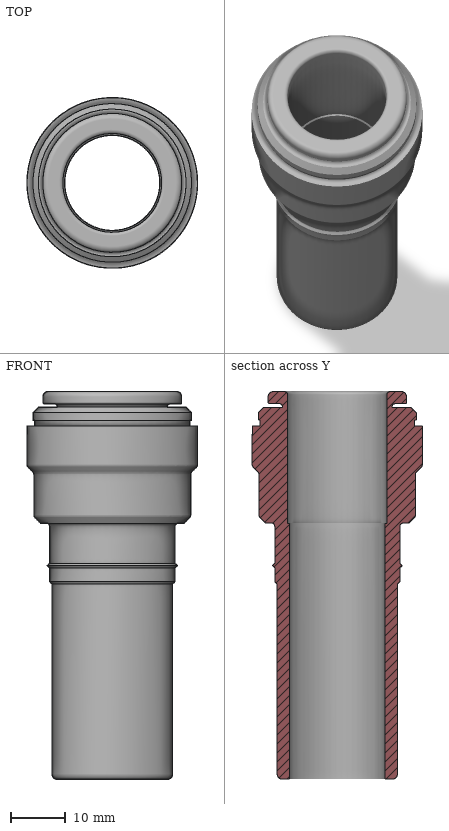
import cadquery as cq

total_length = 70.7

stem_dia = 22.0
shank_dia = 22.9
bead_dia = 23.8
body_dia = 28.6
collar_dia = 31.1
cap_groove_dia = 28.3
cap_dia = 28.9
neck_dia = 20.07
flange_dia = 25.3

shank_bottom = 35.6
bead_center = 38.95
body_bottom = 46.65
collar_bottom = 55.85
collar_top = 64.4
cap_bottom = 65.4
cap_top = 67.8
flange_bottom = 68.4

stem_end_radius = 1.0
shank_step = (shank_dia - stem_dia) / 2
bead_height = 0.8
body_chamfer = 1.25
collar_shoulder = (collar_dia - body_dia) / 2
corner_radius = 0.6
shank_root_radius = 0.5
cap_chamfer = 1.0
flange_top_radius = 1.0
flange_bottom_radius = 0.3
neck_root_radius = 0.5
mouth_radius = 0.65

selection_margin = 0.01

stem_bore_dia = 17.3
socket_bore_dia = 18.0
socket_floor = body_bottom


def cylinder(diameter, bottom, top):
    """Solid cylinder on the Z axis between two heights."""
    return cq.Workplane("XY").workplane(offset=bottom).circle(diameter / 2).extrude(top - bottom)


def circle_at(height, diameter=collar_dia):
    """Selector for the circular edges at a height, up to the given diameter."""
    reach = diameter / 2 + selection_margin
    return cq.selectors.BoxSelector(
        (-reach, -reach, height - selection_margin),
        (reach, reach, height + selection_margin),
        boundingbox=True,
    )


def turned(points):
    """Solid of revolution about Z from (radius, height) points."""
    return cq.Workplane("XZ").polyline(points).close().revolve(360, (0, 0, 0), (0, 1, 0))


def make_stem():
    """Plain tube end with a rounded lower edge."""
    return cylinder(stem_dia, 0, shank_bottom).faces("<Z").edges().fillet(stem_end_radius)


def make_bead():
    """Narrow ring with a V-shaped rim around the shank."""
    half_height = bead_height / 2
    return turned([
        (0, bead_center - half_height),
        (shank_dia / 2, bead_center - half_height),
        (bead_dia / 2, bead_center),
        (shank_dia / 2, bead_center + half_height),
        (0, bead_center + half_height),
    ])


def make_shell():
    """Stem, shank, body and collar joined, with the bevels and their corners rounded."""
    shank = cylinder(shank_dia, shank_bottom, body_bottom).faces("<Z").edges().chamfer(shank_step)
    body = cylinder(body_dia, body_bottom, collar_bottom).faces("<Z").edges().chamfer(body_chamfer)
    collar = cylinder(collar_dia, collar_bottom, collar_top).faces("<Z").edges().chamfer(collar_shoulder)
    corner_heights = [
        body_bottom + body_chamfer,
        collar_bottom,
        collar_bottom + collar_shoulder,
    ]
    shell = shank.union(body).union(collar)
    for height in corner_heights:
        shell = shell.edges(circle_at(height)).fillet(corner_radius)
    shank_root = circle_at(body_bottom, shank_dia)
    return make_stem().union(shell.edges(shank_root).fillet(shank_root_radius))


def make_cap():
    """Cap ring with a bevelled top, set off from the collar by a shallow groove."""
    groove = cylinder(cap_groove_dia, collar_top, cap_bottom)
    ring = cylinder(cap_dia, cap_bottom, cap_top).faces(">Z").edges().chamfer(cap_chamfer)
    return groove.union(ring)


def make_flange():
    """Release flange with rounded edges on a collet neck filleted into its underside."""
    disc = cylinder(flange_dia, flange_bottom, total_length)
    disc = disc.faces(">Z").edges().fillet(flange_top_radius)
    disc = disc.faces("<Z").edges().fillet(flange_bottom_radius)
    collet = disc.union(cylinder(neck_dia, cap_top, flange_bottom))
    neck_root = circle_at(flange_bottom, neck_dia)
    return collet.edges(neck_root).fillet(neck_root_radius)


def make_bore():
    """Stepped through bore, wider in the socket."""
    stem_bore = cylinder(stem_bore_dia, 0, socket_floor)
    return stem_bore.union(cylinder(socket_bore_dia, socket_floor, total_length))


outside = make_shell().union(make_bead()).union(make_cap()).union(make_flange())
hollow = outside.cut(make_bore())
mouth = circle_at(total_length, socket_bore_dia)
result = hollow.edges(mouth).fillet(mouth_radius)